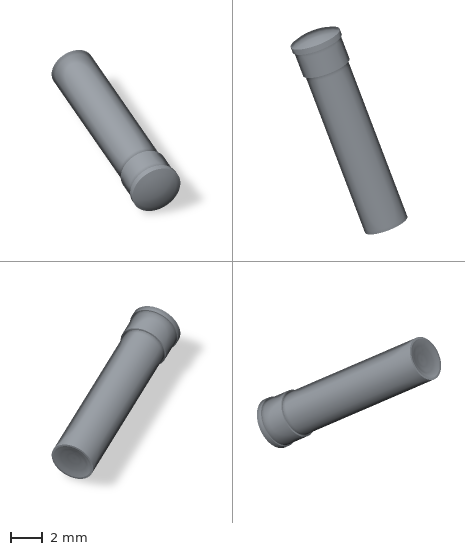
import cadquery as cq

total_length = 13.46
shaft_radius = 1.43
collar_radius = 1.56
flange_radius = 1.65
collar_length = 1.67
flange_length = 0.37
dome_height = 0.38
dish_radius = 1.30
dish_depth = 0.33

full_turn = 360
axis_start = (0, 0, 0)
axis_end = (1, 0, 0)

shaft_start = -total_length / 2
dome_tip = total_length / 2
flange_end = dome_tip - dome_height
flange_start = flange_end - flange_length
collar_start = flange_start - collar_length


def cap_sphere_radius(rim_radius, height):
    """Radius of the sphere whose cap has the given rim radius and height."""
    return (rim_radius**2 + height**2) / (2 * height)


def make_body():
    """Shaft, collar, flange and domed end, revolved as one profile about X."""
    dome_sphere_radius = cap_sphere_radius(flange_radius, dome_height)
    profile = (
        cq.Workplane("XZ")
        .moveTo(shaft_start, 0)
        .lineTo(shaft_start, shaft_radius)
        .lineTo(collar_start, shaft_radius)
        .lineTo(collar_start, collar_radius)
        .lineTo(flange_start, collar_radius)
        .lineTo(flange_start, flange_radius)
        .lineTo(flange_end, flange_radius)
        .radiusArc((dome_tip, 0), dome_sphere_radius)
        .close()
    )
    return profile.revolve(full_turn, axis_start, axis_end)


def make_dish():
    """Spherical cap that hollows the free end of the shaft."""
    dish_sphere_radius = cap_sphere_radius(dish_radius, dish_depth)
    profile = (
        cq.Workplane("XZ")
        .moveTo(shaft_start, 0)
        .lineTo(shaft_start, dish_radius)
        .radiusArc((shaft_start + dish_depth, 0), dish_sphere_radius)
        .close()
    )
    return profile.revolve(full_turn, axis_start, axis_end)


result = make_body().cut(make_dish())